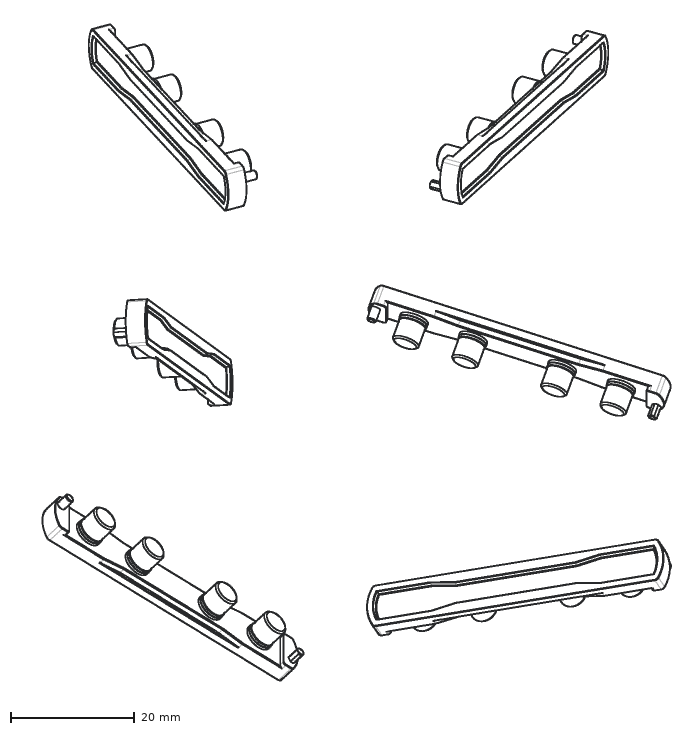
import cadquery as cq
import math

LENGTH = 50.8
WIDTH = 7.6
BODY_BACK = 2.55
PAD_BACK = 3.4
END_RADIUS = 7.0
CORNER_RADIUS = 0.7
EDGE_CHAMFER = 0.1
BACK_CHAMFER = 0.15
SELECTION_MARGIN = 0.05

PAD_LENGTH = 3.1
PAD_FILLET = 0.5

WAIST_OUTER_X = 14.5
WAIST_INNER_X = 10.3

WAIST_DEPTH = 0.6
WAIST_FRONT = 1.45
LEDGE_CHAMFER = 0.1

POCKET_END_MARGIN = 1
POCKET_SIDE_MARGIN = 1.1
POCKET_NARROWING = 0.7
POCKET_DEPTH = 0.65
POCKET_WALL_RUN = 0.25
POCKET_BEVEL = 0.1
BEVEL_ANGLE = 45

BOSS_POSITIONS = (-17.8, -7.6, 7.6, 17.8)
BOSS_RADIUS = 2.25
BOSS_TOP = 7.05
BOSS_CHAMFER = 0.3
COLLAR_RADIUS = 2.35
COLLAR_TOP = 3.55
COLLAR_BASE_RADIUS = 2.4
COLLAR_BASE_TOP = 3.1
COLLAR_CHAMFER = 0.1

PIN_X = 24.1
PIN_Z = 1.6
PIN_RADIUS = 0.75
PIN_TOP = 5.65
PIN_CHAMFER = 0.15
PIN_LAND_HALF_WIDTH = 0.3

POST_ROOT = WAIST_FRONT

HALF_LENGTH = LENGTH / 2
HALF_WIDTH = WIDTH / 2


def plane_at(y):
    """Sketch plane across Y with local x along X and local y along Z; it extrudes towards -Y."""
    return cq.Workplane("XZ", origin=(0, y, 0))


def end_x(half_length, radius, z):
    """X of a rounded end at height z."""
    return half_length - radius + math.sqrt(radius**2 - z**2)


def make_bar():
    corner_x = end_x(HALF_LENGTH, END_RADIUS, HALF_WIDTH)
    return (
        plane_at(PAD_BACK)
        .moveTo(-corner_x, HALF_WIDTH)
        .lineTo(corner_x, HALF_WIDTH)
        .threePointArc((HALF_LENGTH, 0), (corner_x, -HALF_WIDTH))
        .lineTo(-corner_x, -HALF_WIDTH)
        .threePointArc((-HALF_LENGTH, 0), (-corner_x, HALF_WIDTH))
        .close()
        .extrude(PAD_BACK)
        .edges("|Y")
        .fillet(CORNER_RADIUS)
    )


def make_gap_between_pads():
    """Material removed behind the body, leaving pads whose inner corners are rounded."""
    gap_length = LENGTH - 2 * PAD_LENGTH
    height = PAD_BACK - BODY_BACK
    gap = plane_at(PAD_BACK).rect(gap_length, WIDTH).extrude(height)
    for side in (-1, 1):
        for edge in (-1, 1):
            corner_x = side * gap_length / 2
            corner_z = edge * HALF_WIDTH
            square = (
                plane_at(PAD_BACK)
                .center(corner_x + side * PAD_FILLET / 2, corner_z - edge * PAD_FILLET / 2)
                .rect(PAD_FILLET, PAD_FILLET)
                .extrude(height)
            )
            round_corner = (
                plane_at(PAD_BACK)
                .center(corner_x + side * PAD_FILLET, corner_z - edge * PAD_FILLET)
                .circle(PAD_FILLET)
                .extrude(height)
            )
            gap = gap.union(square.cut(round_corner))
    return gap


def make_waist_cut(edge):
    """Trapezoidal cut in the back of one long side; edge is +1 (top) or -1 (bottom)."""
    side_z = edge * HALF_WIDTH
    waist_z = side_z - edge * WAIST_DEPTH
    return (
        plane_at(BODY_BACK)
        .polyline([
            (-WAIST_OUTER_X, side_z),
            (-WAIST_INNER_X, waist_z),
            (WAIST_INNER_X, waist_z),
            (WAIST_OUTER_X, side_z),
        ])
        .close()
        .extrude(BODY_BACK - WAIST_FRONT)
    )


def make_ledge_chamfer(edge):
    """Wedge that breaks the outer edge of the ledge left in front of a waist cut."""
    side_z = edge * HALF_WIDTH
    return (
        cq.Workplane("YZ")
        .polyline([
            (WAIST_FRONT, side_z),
            (WAIST_FRONT, side_z - edge * LEDGE_CHAMFER),
            (WAIST_FRONT - LEDGE_CHAMFER, side_z),
        ])
        .close()
        .extrude(WAIST_OUTER_X, both=True)
    )


def pocket_outline(y, inset):
    """Pocket outline at depth y, drawn everywhere the same inset inside the pocket mouth."""
    wide_z = HALF_WIDTH - POCKET_SIDE_MARGIN - inset
    narrow_z = wide_z - POCKET_NARROWING
    tip_x = HALF_LENGTH - POCKET_END_MARGIN - inset
    corner_x = end_x(tip_x, END_RADIUS - POCKET_END_MARGIN - inset, wide_z)
    slope_angle = math.atan2(POCKET_NARROWING, WAIST_OUTER_X - WAIST_INNER_X)
    bend_shift = inset * math.tan(slope_angle / 2)
    outer_x = WAIST_OUTER_X + bend_shift
    inner_x = WAIST_INNER_X + bend_shift
    return (
        plane_at(y)
        .moveTo(-corner_x, wide_z)
        .lineTo(-outer_x, wide_z)
        .lineTo(-inner_x, narrow_z)
        .lineTo(inner_x, narrow_z)
        .lineTo(outer_x, wide_z)
        .lineTo(corner_x, wide_z)
        .threePointArc((tip_x, 0), (corner_x, -wide_z))
        .lineTo(outer_x, -wide_z)
        .lineTo(inner_x, -narrow_z)
        .lineTo(-inner_x, -narrow_z)
        .lineTo(-outer_x, -wide_z)
        .lineTo(-corner_x, -wide_z)
        .threePointArc((-tip_x, 0), (-corner_x, wide_z))
        .close()
    )


def make_pocket():
    wall_depth = POCKET_DEPTH - POCKET_BEVEL
    wall_angle = math.degrees(math.atan2(POCKET_WALL_RUN, wall_depth))
    lip = pocket_outline(0, 0).extrude(-POCKET_BEVEL, taper=BEVEL_ANGLE)
    walls = (
        pocket_outline(POCKET_BEVEL, POCKET_BEVEL)
        .extrude(-wall_depth, taper=wall_angle)
        .faces(">Y")
        .chamfer(POCKET_BEVEL)
    )
    return lip.union(walls)


def make_post(x, z, radius, top, chamfer):
    """Round post with a chamfered top, rooted inside the body and rising towards +Y."""
    return (
        plane_at(POST_ROOT)
        .center(x, z)
        .circle(radius)
        .extrude(POST_ROOT - top)
        .faces(">Y")
        .chamfer(chamfer)
    )


def make_boss(x):
    """Chamfered boss standing on a collar with a slightly wider base."""
    boss = make_post(x, 0, BOSS_RADIUS, BOSS_TOP, BOSS_CHAMFER)
    collar = make_post(x, 0, COLLAR_RADIUS, COLLAR_TOP, COLLAR_CHAMFER)
    collar_base = make_post(x, 0, COLLAR_BASE_RADIUS, COLLAR_BASE_TOP, COLLAR_CHAMFER)
    return boss.union(collar).union(collar_base)


def make_round_pin(x, z):
    return make_post(x, z, PIN_RADIUS, PIN_TOP, PIN_CHAMFER)


def make_relieved_pin(x, z):
    """Round pin cut by four slanted flats, leaving narrow lands at its top and bottom."""
    land_z = math.sqrt(PIN_RADIUS**2 - PIN_LAND_HALF_WIDTH**2)
    slanted_sides = (
        plane_at(POST_ROOT)
        .center(x, z)
        .polyline([
            (-PIN_RADIUS, 0),
            (-PIN_LAND_HALF_WIDTH, land_z),
            (-PIN_LAND_HALF_WIDTH, PIN_RADIUS),
            (PIN_LAND_HALF_WIDTH, PIN_RADIUS),
            (PIN_LAND_HALF_WIDTH, land_z),
            (PIN_RADIUS, 0),
            (PIN_LAND_HALF_WIDTH, -land_z),
            (PIN_LAND_HALF_WIDTH, -PIN_RADIUS),
            (-PIN_LAND_HALF_WIDTH, -PIN_RADIUS),
            (-PIN_LAND_HALF_WIDTH, -land_z),
        ])
        .close()
        .extrude(POST_ROOT - PIN_TOP)
    )
    return make_round_pin(x, z).intersect(slanted_sides)


def chamfer_edges(body):
    """Break the front edges, the pad edges and the back edges between the pads."""
    body = body.faces("<Y or >Y").edges().chamfer(EDGE_CHAMFER)
    half_span = HALF_LENGTH - PAD_LENGTH - SELECTION_MARGIN
    back_edges = cq.selectors.BoxSelector(
        (-half_span, BODY_BACK - SELECTION_MARGIN, -WIDTH),
        (half_span, BODY_BACK + SELECTION_MARGIN, WIDTH),
    )
    return body.edges(back_edges).chamfer(BACK_CHAMFER)


result = make_bar().cut(make_gap_between_pads())
for long_side in (-1, 1):
    result = result.cut(make_waist_cut(long_side))
    result = result.cut(make_ledge_chamfer(long_side))
result = chamfer_edges(result)
result = result.cut(make_pocket())
for boss_x in BOSS_POSITIONS:
    result = result.union(make_boss(boss_x))
result = result.union(make_relieved_pin(-PIN_X, -PIN_Z))
result = result.union(make_round_pin(PIN_X, PIN_Z))